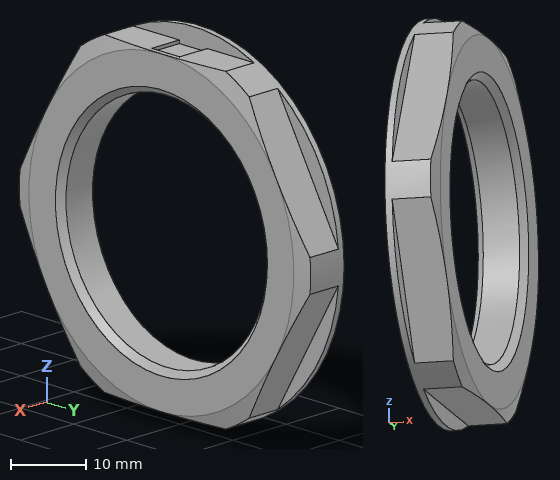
import cadquery as cq
import math

outer_diameter = 55.0
across_flats = 50.0
total_width = 7.0
flange_width = 1.0
bore_diameter = 38.0
bore_chamfer = 1.0

rim_chamfer_width = 0.65
rim_end_diameter = across_flats

recess_width = 5.15
recess_length = 5.3
recess_depth = 0.5

hexagon_sides = 6
across_corners = across_flats / math.cos(math.pi / hexagon_sides)


def turned_blank():
    """Solid disc around X with its rim chamfered at the nut end."""
    outer_radius = outer_diameter / 2
    profile = [
        (0, 0),
        (0, outer_radius),
        (total_width - rim_chamfer_width, outer_radius),
        (total_width, rim_end_diameter / 2),
        (total_width, 0),
    ]
    return cq.Workplane("XY").polyline(profile).close().revolve(360, (0, 0, 0), (1, 0, 0))


def hexagon_envelope():
    """Hexagonal prism with flats facing +Z and -Z, headed by a disc that clears the flange rim."""
    prism = cq.Workplane("YZ").polygon(hexagon_sides, across_corners).extrude(total_width)
    flange_clearance = cq.Workplane("YZ").circle(across_corners / 2).extrude(flange_width)
    return prism.union(flange_clearance)


def bore():
    """Through bore with a 45 degree chamfer at both mouths."""
    bore_radius = bore_diameter / 2
    mouth_radius = bore_radius + bore_chamfer
    profile = [
        (0, 0),
        (0, mouth_radius),
        (bore_chamfer, bore_radius),
        (total_width - bore_chamfer, bore_radius),
        (total_width, mouth_radius),
        (total_width, 0),
    ]
    return cq.Workplane("XY").polyline(profile).close().revolve(360, (0, 0, 0), (1, 0, 0))


def flat_recess():
    """Rectangular block to cut from the flat facing +Z."""
    return (
        cq.Workplane("XY")
        .workplane(offset=across_flats / 2 - recess_depth)
        .center(flange_width + recess_width / 2, 0)
        .rect(recess_width, recess_length)
        .extrude(recess_depth)
    )


nut = turned_blank().intersect(hexagon_envelope())
result = nut.cut(bore()).cut(flat_recess())